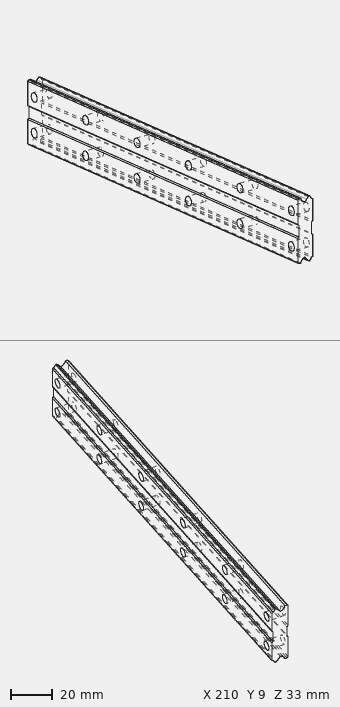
import cadquery as cq

length = 210.0
thickness = 9.0
height = 33.0
half_thickness = thickness / 2
half_height = height / 2

relief_depth = 0.6
relief_half_height = 3.0
relief_slope_height = 0.6

lip_chamfer = 0.6
lip_inner_y = -2.7
groove_wall_depth = 1.7
groove_wall_y = -1.7
groove_end_y = -0.2
groove_end_depth = 2.5
ridge_foot_y = 0.8
ridge_foot_depth = 1.3
ridge_inner_y = 2.0
ridge_outer_y = 2.7
shoulder_y = 3.8
shoulder_depth = 1.5
shoulder_edge_depth = 1.9

hole_diameter = 4.6
hole_columns = 6
hole_end_margin = 5.0
hole_pitch = (length - 2 * hole_end_margin) / (hole_columns - 1)
hole_row_spacing = 18.0


def half_bar():
    """Upper half of the bar, extruded from its YZ section."""
    waist_y = half_thickness - relief_depth
    relief_top = relief_half_height + relief_slope_height
    section = (
        cq.Workplane("YZ", origin=(-length / 2, 0, 0))
        .moveTo(-waist_y, 0)
        .lineTo(-waist_y, relief_half_height)
        .lineTo(-half_thickness, relief_top)
        .lineTo(-half_thickness, half_height - lip_chamfer)
        .lineTo(-half_thickness + lip_chamfer, half_height)
        .lineTo(lip_inner_y, half_height)
        .threePointArc(
            (groove_wall_y, half_height - groove_wall_depth),
            (groove_end_y, half_height - groove_end_depth),
        )
        .lineTo(ridge_foot_y, half_height - ridge_foot_depth)
        .lineTo(ridge_inner_y, half_height)
        .lineTo(ridge_outer_y, half_height)
        .lineTo(shoulder_y, half_height - shoulder_depth)
        .lineTo(half_thickness, half_height - shoulder_edge_depth)
        .lineTo(half_thickness, relief_top)
        .lineTo(waist_y, relief_half_height)
        .lineTo(waist_y, 0)
        .close()
    )
    return section.extrude(length)


def mounting_holes():
    """Cylinders along Y for both rows of through holes."""
    return (
        cq.Workplane("XZ", origin=(0, half_thickness, 0))
        .rarray(hole_pitch, hole_row_spacing, hole_columns, 2)
        .circle(hole_diameter / 2)
        .extrude(thickness)
    )


upper_half = half_bar()
bar = upper_half.union(upper_half.mirror("XY")).clean()
result = bar.cut(mounting_holes())